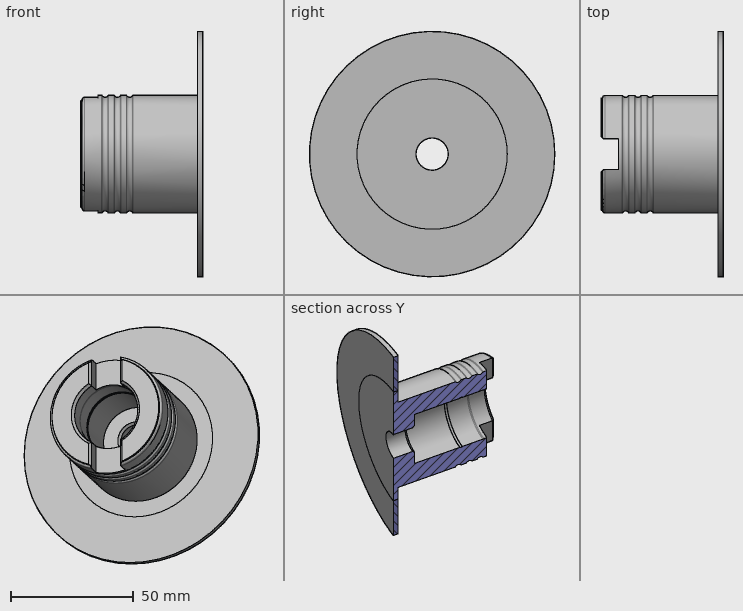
import cadquery as cq
import math

overall_length = 49.8

disc_radius = 50.0
disc_thickness = 2.2
disc_front_x = overall_length - disc_thickness

flange_radius = 30.6
sleeve_radius = 24.0
lip_length = 0.6
lip_taper = 0.2
front_round_radius = 1.0

groove_width = 2.8
groove_depth = 0.8
groove_edge_radius = 0.2
groove_first_x = 10.0
groove_pitch = 5.0
groove_count = 3

slot_width = 12.4
slot_depth = 7.0
tooth_chamfer = 1.0

bore_radius = 13.5
bore_depth = 40.0
bore_chamfer = 1.1
rear_bore_radius = 13.6
front_bore_end_x = 8.3
rear_bore_start_x = 8.8
ring_groove_radius = 13.8
ring_groove_start_x = 18.2
ring_groove_end_x = 19.3
hole_radius = 6.5
hole_chamfer = 1.0


def revolve_about_x(profile):
    """Turn a closed (x, radius) profile drawn on the XY plane about the X axis."""
    return profile.close().revolve(360, (0, 0, 0), (1, 0, 0))


def hub_blank():
    """Sleeve with a short tapered lip and a rounded front edge, plus the flange set into the disc."""
    lip_radius = sleeve_radius - front_round_radius
    round_end_x = lip_length + front_round_radius
    round_middle = (
        round_end_x - front_round_radius * math.sqrt(0.5),
        lip_radius + front_round_radius * math.sqrt(0.5),
    )
    profile = (
        cq.Workplane("XY")
        .moveTo(0, 0)
        .lineTo(0, lip_radius - lip_taper)
        .lineTo(lip_length, lip_radius)
        .threePointArc(round_middle, (round_end_x, sleeve_radius))
        .lineTo(disc_front_x, sleeve_radius)
        .lineTo(disc_front_x, flange_radius)
        .lineTo(overall_length, flange_radius)
        .lineTo(overall_length, 0)
    )
    return revolve_about_x(profile)


def sleeve_groove(centre_x):
    """Ring cutter for a groove whose round bottom runs tangent into its rounded edges."""
    half_width = groove_width / 2
    floor_radius = sleeve_radius - groove_depth
    edge_centre_radius = sleeve_radius - groove_edge_radius

    rise = (half_width**2 - groove_depth**2) / (2 * groove_depth)
    centre_distance = rise + groove_depth
    edge_angle = math.atan2(rise, half_width)
    tangent_offset = half_width * (1 - groove_edge_radius / centre_distance)
    tangent_radius = edge_centre_radius + groove_edge_radius * math.sin(edge_angle)

    middle_angle = (edge_angle + math.pi / 2) / 2
    middle_offset = half_width - groove_edge_radius * math.cos(middle_angle)
    middle_radius = edge_centre_radius + groove_edge_radius * math.sin(middle_angle)

    profile = (
        cq.Workplane("XY")
        .moveTo(centre_x - half_width, sleeve_radius)
        .threePointArc(
            (centre_x - middle_offset, middle_radius),
            (centre_x - tangent_offset, tangent_radius),
        )
        .threePointArc((centre_x, floor_radius), (centre_x + tangent_offset, tangent_radius))
        .threePointArc(
            (centre_x + middle_offset, middle_radius),
            (centre_x + half_width, sleeve_radius),
        )
    )
    return revolve_about_x(profile)


def bore_cutter():
    """Chamfered blind bore that widens by a short cone, its ring groove and the through hole."""
    profile = (
        cq.Workplane("XY")
        .moveTo(0, 0)
        .lineTo(0, bore_radius + bore_chamfer)
        .lineTo(bore_chamfer, bore_radius)
        .lineTo(front_bore_end_x, bore_radius)
        .lineTo(rear_bore_start_x, rear_bore_radius)
        .lineTo(ring_groove_start_x, rear_bore_radius)
        .lineTo(ring_groove_start_x, ring_groove_radius)
        .lineTo(ring_groove_end_x, ring_groove_radius)
        .lineTo(ring_groove_end_x, rear_bore_radius)
        .lineTo(bore_depth, rear_bore_radius)
        .lineTo(bore_depth, hole_radius + hole_chamfer)
        .lineTo(bore_depth + hole_chamfer, hole_radius)
        .lineTo(overall_length, hole_radius)
        .lineTo(overall_length, 0)
    )
    return revolve_about_x(profile)


def slot_cutter():
    """Slot along Z across the front face, widened at its mouth by the tooth chamfers."""
    half_slot = slot_width / 2
    half_mouth = half_slot + tooth_chamfer
    return (
        cq.Workplane("XY")
        .polyline([
            (0, -half_mouth),
            (tooth_chamfer, -half_slot),
            (slot_depth, -half_slot),
            (slot_depth, half_slot),
            (tooth_chamfer, half_slot),
            (0, half_mouth),
        ])
        .close()
        .extrude(sleeve_radius, both=True)
    )


def make_hub():
    """Grooved, bored and slotted hub with its flange."""
    body = hub_blank()
    for index in range(groove_count):
        body = body.cut(sleeve_groove(groove_first_x + index * groove_pitch))
    return body.cut(bore_cutter()).cut(slot_cutter())


def make_disc():
    """Flat disc whose centre hole holds the hub flange."""
    return (
        cq.Workplane("YZ", origin=(disc_front_x, 0, 0))
        .circle(disc_radius)
        .circle(flange_radius)
        .extrude(disc_thickness)
    )


hub = make_hub().solids()
disc = make_disc()

result = cq.Compound.makeCompound([hub.val(), disc.val()])